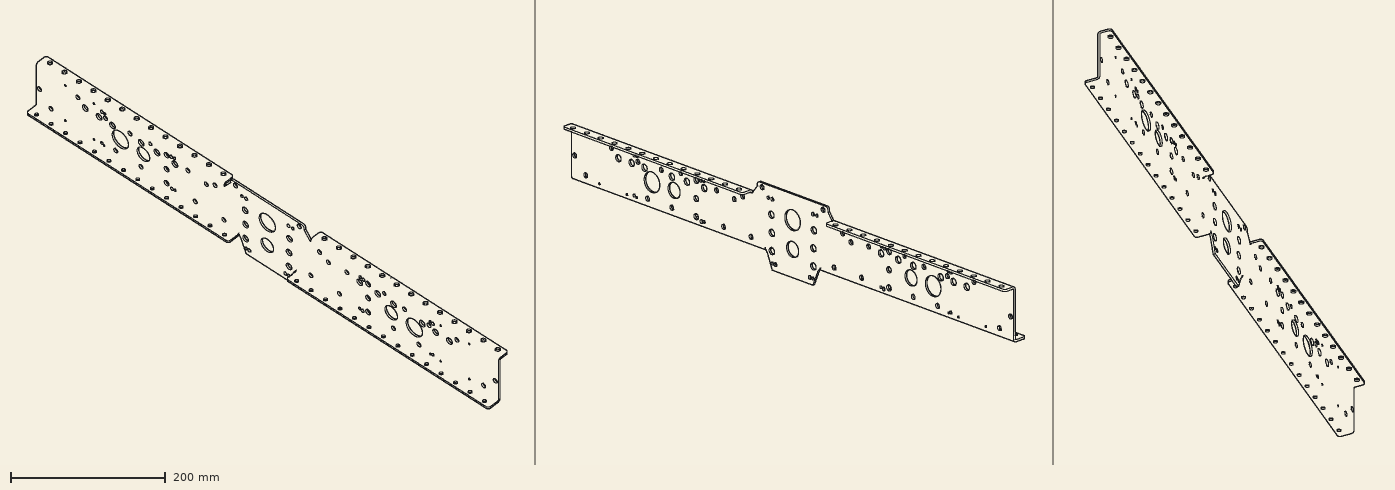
import cadquery as cq
import math

length = 813.0
depth = 38.0
height = 116.0

sheet = 3.2
bend_inside_radius = 2.5 / 2
bend_outside_radius = bend_inside_radius + sheet
flange_corner_radius = 3.8

hole_pitch = length / 32
hole_edge_distance = hole_pitch / 4
upper_flange_hole_count = 13
upper_flange_hole_diameter = 6.75
lower_flange_hole_count = 14
lower_flange_hole_diameter = 5.0

half_length = length / 2
arm_top = 43.0
arm_bottom = -35.0
web_top = arm_top - bend_outside_radius
web_bottom = arm_bottom + bend_outside_radius
first_hole_x = half_length - hole_pitch / 2
upper_flange_end = half_length - upper_flange_hole_count * hole_pitch
lower_flange_end = half_length - lower_flange_hole_count * hole_pitch

plate_top = height / 2
plate_bottom = -height / 2
plate_top_half_width = 65.0
plate_bottom_half_width = 37.0
upper_neck_half_width = 75.0
shoulder_z = 51.0
lower_neck_half_width = 46.0
lower_neck_z = -36.5
plate_corner_radius = 4.0

centre_holes = [
    (28.5, 22.0),
    (22.0, -19.0),
]

side_holes = [
    (28.5, [(-258.5, 2.5)]),
    (22.0, [(-218.0, 2.5)]),
    (10.0, [(-320.0, 19.0), (-296.0, 19.0), (-272.0, 19.0), (-222.0, 20.0), (-194.0, 21.0), (-162.5, 21.0)]),
    (10.0, [(-39.0, 19.0), (-38.0, -6.5), (-38.0, -32.0)]),
    (8.0, [(-177.0, 28.0), (-177.0, 2.5), (-177.0, -23.0)]),
    (6.75, [(-333.0, 29.0), (-284.5, 23.5), (-241.0, 24.0), (-140.0, 24.0), (-107.0, 21.0), (-92.0, 29.0)]),
    (6.75, [(-380.0, -22.0), (-267.0, -23.0), (-222.0, -23.0), (-127.0, -23.0), (-76.0, -23.0)]),
    (6.75, [(-401.0, 0.0), (-56.0, 52.0)]),
    (5.4, [(-206.0, 29.0)]),
    (5.0, [(-291.0, 31.0), (-169.0, 30.0), (-167.5, -27.0), (-37.0, 41.0), (-32.0, -49.0)]),
    (4.0, [(-291.0, -25.0), (-163.0, 31.0), (-45.0, 41.0), (-37.0, -49.0)]),
    (3.6, [(-286.0, 31.0), (-162.5, -26.0)]),
    (2.5, [(-355.0, 36.5), (-305.0, 36.5), (-355.0, -27.0), (-305.0, -28.0), (-287.0, -27.0)]),
]


def mirrored(points):
    """The points followed by their mirror images across X = 0."""
    return points + [(-x, other) for x, other in points]


def web():
    """Flat sheet: both arms up to their bends, and the centre plate."""
    right_side = [
        (plate_top_half_width, plate_top),
        (plate_top_half_width, shoulder_z),
        (upper_neck_half_width, web_top),
        (half_length, web_top),
        (half_length, web_bottom),
        (lower_flange_end, web_bottom),
        (lower_neck_half_width, lower_neck_z),
        (plate_bottom_half_width, plate_bottom),
    ]
    left_side = [(-x, z) for x, z in reversed(right_side)]
    flat = cq.Workplane("XZ").polyline(right_side + left_side).close().extrude(-sheet)
    return flat.edges("|Y").edges(">Z").fillet(plate_corner_radius)


def flange(side, inner_end, hole_count, hole_diameter):
    """Right-hand bent flange: side is 1 for the top, turned to +Y, and -1 for the bottom, turned to -Y."""
    web_outer_y = 0.0 if side > 0 else sheet
    outer_z = arm_top if side > 0 else arm_bottom
    tip_y = side * depth / 2
    bend_y = web_outer_y + side * bend_outside_radius
    bend_z = outer_z - side * bend_outside_radius
    diagonal = math.sqrt(0.5)

    def bend_middle(radius):
        return (bend_y - side * radius * diagonal, bend_z + side * radius * diagonal)

    strip = (
        cq.Workplane("YZ", origin=(inner_end, 0, 0))
        .moveTo(web_outer_y, bend_z)
        .threePointArc(bend_middle(bend_outside_radius), (bend_y, outer_z))
        .lineTo(tip_y, outer_z)
        .lineTo(tip_y, outer_z - side * sheet)
        .lineTo(bend_y, outer_z - side * sheet)
        .threePointArc(bend_middle(bend_inside_radius), (web_outer_y + side * sheet, bend_z))
        .close()
        .extrude(half_length - inner_end)
    )
    tip_face = ">Y" if side > 0 else "<Y"
    strip = strip.faces(tip_face).edges("|Z").fillet(flange_corner_radius)

    hole_y = tip_y - side * hole_edge_distance
    centres = [(first_hole_x - i * hole_pitch, hole_y) for i in range(hole_count)]
    drills = (
        cq.Workplane("XY", origin=(0, 0, outer_z))
        .pushPoints(centres)
        .circle(hole_diameter / 2)
        .extrude(sheet, both=True)
    )
    return strip.cut(drills)


def web_holes(diameter, centres):
    """Drills at (X, Z) centres, passing one sheet thickness beyond both faces of the web."""
    drill_length = 3 * sheet
    return (
        cq.Workplane("XZ", origin=(0, -sheet, 0))
        .pushPoints(centres)
        .circle(diameter / 2)
        .extrude(-drill_length)
    )


result = web()

upper_flange = flange(1, upper_flange_end, upper_flange_hole_count, upper_flange_hole_diameter)
lower_flange = flange(-1, lower_flange_end, lower_flange_hole_count, lower_flange_hole_diameter)
for right_flange in (upper_flange, lower_flange):
    result = result.union(right_flange).union(right_flange.mirror("YZ"))

for diameter, z in centre_holes:
    result = result.cut(web_holes(diameter, [(0, z)]))
for diameter, centres in side_holes:
    result = result.cut(web_holes(diameter, mirrored(centres)))